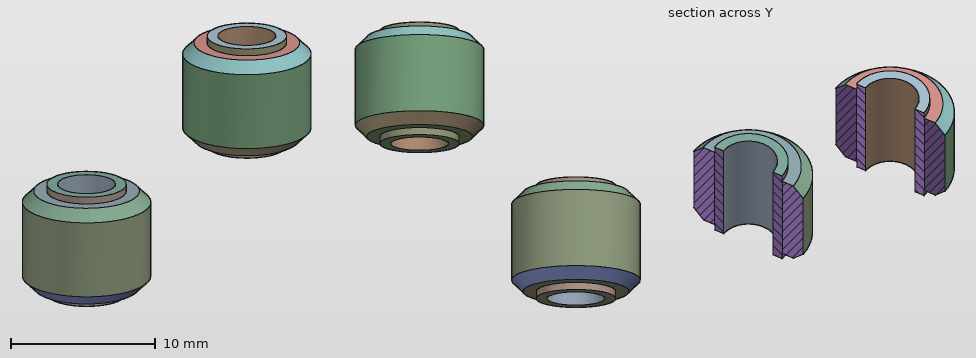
import cadquery as cq

roller_diameter = 8.9
roller_height = 7.0
roller_chamfer = 0.8

sleeve_diameter = 5.5
sleeve_height = 8.0
bore_diameter = 4.0

spacing_x = 11.52
spacing_y = -0.05
spacing_z = 11.93

centres = [
    (side * spacing_x / 2, side * spacing_y / 2, side * spacing_z / 2)
    for side in (-1, 1)
]


def centred_cylinder(diameter, height):
    """Upright cylinder centred on the origin."""
    return cq.Workplane("XY").cylinder(height, diameter / 2)


def make_roller(centre):
    """Ring chamfered on both outer rims, bored to fit the sleeve."""
    chamfered = centred_cylinder(roller_diameter, roller_height).edges("%CIRCLE").chamfer(roller_chamfer)
    sleeve_hole = centred_cylinder(sleeve_diameter, roller_height)
    return chamfered.cut(sleeve_hole).translate(centre)


def make_sleeve(centre):
    """Tube open at both ends."""
    bore = centred_cylinder(bore_diameter, sleeve_height)
    return centred_cylinder(sleeve_diameter, sleeve_height).cut(bore).translate(centre)


bodies = []
for centre in centres:
    bodies.append(make_roller(centre).val())
    bodies.append(make_sleeve(centre).val())

result = cq.Compound.makeCompound(bodies)